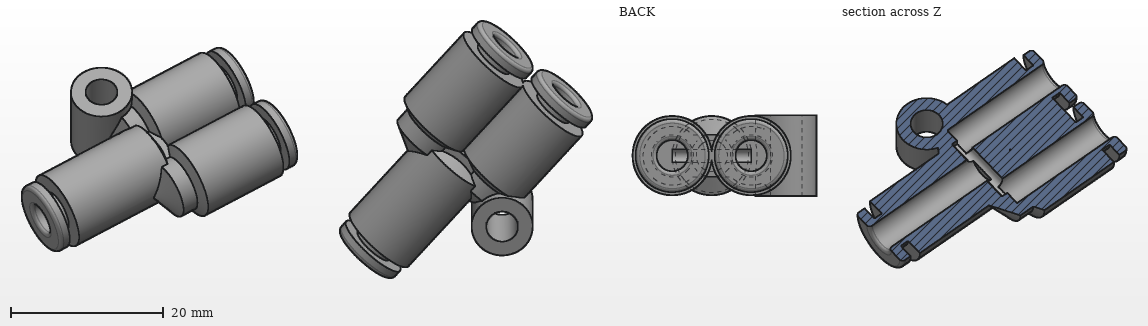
import cadquery as cq
import math


total_length = 34.0
branch_offset = 5.17
body_radius = 5.2

collar_radius = 4.8
collar_thickness = 1.5
collar_gap = 1.2
sleeve_radius = 2.75
rim_fillet = 0.5
bore_radius = 2.05
body_inset = collar_thickness + collar_gap

stem_body_end = 17.48
stem_cone_height = 2.2
branch_body_start = 19.5
neck_radius = 3.85
neck_end = 16.55
cone_slope = math.tan(math.radians(30))
branch_cone_height = (body_radius - neck_radius) * cone_slope
neck_tip = neck_end - neck_radius * cone_slope
web_half_height = 2.75

channel_y = stem_body_end
channel_radius = 0.85

eyelet_x = -9.72
eyelet_y = 16.0
eyelet_radius = 4.0
eyelet_hole_radius = 2.07
eyelet_height = 10.6


def revolve_about_y(points, axis_x):
    """Revolve a (radius, y) profile about the line x = axis_x parallel to Y."""
    profile = cq.Workplane("XY").polyline(points).close()
    return profile.revolve(360, (0, 0, 0), (0, 1, 0)).translate((axis_x, 0, 0))


def y_cylinder(radius, start, end, axis_x):
    points = [(0, start), (radius, start), (radius, end), (0, end)]
    return revolve_about_y(points, axis_x)


def port_collar(axis_x, outer_y, inward):
    """Collar and sleeve; inward is +1 or -1, the Y direction into the body."""
    collar = y_cylinder(collar_radius, outer_y, outer_y + inward * collar_thickness, axis_x)
    outer_face = "<Y" if inward > 0 else ">Y"
    collar = collar.faces(outer_face).edges().fillet(rim_fillet)
    sleeve_start = outer_y + inward * collar_thickness / 2
    sleeve = y_cylinder(sleeve_radius, sleeve_start, outer_y + inward * body_inset, axis_x)
    return collar.union(sleeve)


def port_bore(axis_x, outer_y, inward):
    """Blind bore to the cross channel, with a rounded mouth."""
    mouth_radius = bore_radius + rim_fillet
    mouth_depth = outer_y + inward * rim_fillet
    arc_drop = rim_fillet * math.sqrt(0.5)
    arc_middle = (mouth_radius - arc_drop, mouth_depth - inward * arc_drop)
    profile = (
        cq.Workplane("XY")
        .moveTo(0, outer_y)
        .lineTo(mouth_radius, outer_y)
        .threePointArc(arc_middle, (bore_radius, mouth_depth))
        .lineTo(bore_radius, channel_y)
        .lineTo(0, channel_y)
        .close()
    )
    return profile.revolve(360, (0, 0, 0), (0, 1, 0)).translate((axis_x, 0, 0))


def stem():
    points = [
        (0, body_inset),
        (body_radius, body_inset),
        (body_radius, stem_body_end),
        (0, stem_body_end + stem_cone_height),
    ]
    return revolve_about_y(points, 0)


def branch(axis_x):
    body_end = total_length - body_inset
    points = [
        (0, body_end),
        (body_radius, body_end),
        (body_radius, branch_body_start),
        (neck_radius, branch_body_start - branch_cone_height),
        (neck_radius, neck_end),
        (0, neck_tip),
    ]
    return revolve_about_y(points, axis_x)


def web():
    """Flat-topped block filling the space between the stem and branches."""
    length = branch_body_start - stem_body_end
    block = cq.Workplane("XY").box(2 * branch_offset, length, 2 * web_half_height)
    return block.translate((0, stem_body_end + length / 2, 0))


def eyelet_cylinder(radius):
    blank = cq.Workplane("XY").circle(radius).extrude(eyelet_height)
    return blank.translate((eyelet_x, eyelet_y, -eyelet_height / 2))


ports = [
    (0, 0, 1),
    (-branch_offset, total_length, -1),
    (branch_offset, total_length, -1),
]

result = stem().union(web())
for side in (-1, 1):
    result = result.union(branch(side * branch_offset))
for port in ports:
    result = result.union(port_collar(*port))
result = result.union(eyelet_cylinder(eyelet_radius))

for port in ports:
    result = result.cut(port_bore(*port))
cross_channel = (
    cq.Workplane("YZ", origin=(-branch_offset, 0, 0))
    .center(channel_y, 0)
    .circle(channel_radius)
    .extrude(2 * branch_offset)
)
result = result.cut(cross_channel).cut(eyelet_cylinder(eyelet_hole_radius))